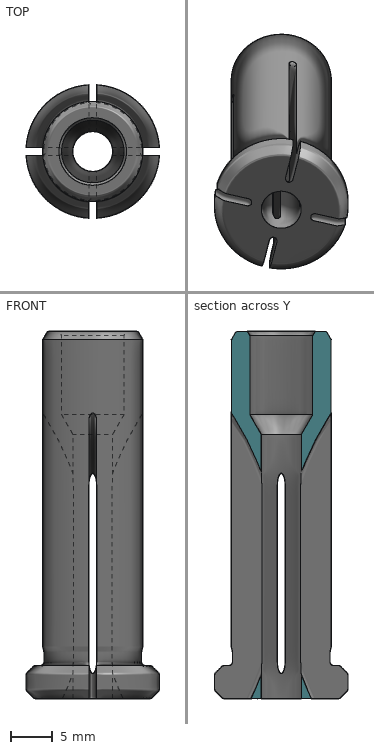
import cadquery as cq
import math

total_length = 44.0
shank_diameter = 12.0
edge_round = 0.4

head_diameter = 16.0
head_height = 4.0
head_chamfer = 1.0

neck_diameter = 11.75
neck_top = 5.65
neck_taper_height = 0.55

tip_chamfer_height = 1.0
tip_chamfer_angle = 30.0

bore_diameter = 7.5
bore_depth = 10.0
bore_floor_angle = 60.0
bore_mouth_flare = 0.3
bore_mouth_height = 0.55
hole_diameter = 4.75

slot_count = 4
slot_width = 0.92
disc_radius = 35.0
disc_center_height = 15.0
slot_floor_radius = 0.25


def revolve_profile(points):
    """Turn a closed (radius, height) outline around the Z axis."""
    return cq.Workplane("XZ").polyline(points).close().revolve(360, (0, 0, 0), (0, 1, 0))


def make_body():
    head_radius = head_diameter / 2
    head_face_radius = head_radius - head_chamfer
    neck_radius = neck_diameter / 2
    shank_radius = shank_diameter / 2
    tip_base = total_length - tip_chamfer_height
    tip_radius = shank_radius - tip_chamfer_height * math.tan(math.radians(tip_chamfer_angle))
    body = revolve_profile([
        (0, 0),
        (head_face_radius, 0),
        (head_radius, head_chamfer),
        (head_radius, head_height - head_chamfer),
        (head_face_radius, head_height),
        (neck_radius, head_height),
        (neck_radius, neck_top),
        (shank_radius, neck_top + neck_taper_height),
        (shank_radius, tip_base),
        (tip_radius, total_length),
        (0, total_length),
    ])
    rounded_heights = [0, head_chamfer, head_height - head_chamfer, head_height, total_length]

    def is_rounded_ring(edge):
        height = edge.Center().z
        return edge.geomType() == "CIRCLE" and any(
            math.isclose(height, level, abs_tol=4.4e-07) for level in rounded_heights
        )

    return body.edges().filter(is_rounded_ring).fillet(edge_round)


def make_bore():
    """Blind bore from the top with a conical floor that leads into the through hole."""
    bore_radius = bore_diameter / 2
    hole_radius = hole_diameter / 2
    bore_floor = total_length - bore_depth
    cone_height = (bore_radius - hole_radius) * math.tan(math.radians(bore_floor_angle))
    return revolve_profile([
        (0, 0),
        (hole_radius, 0),
        (hole_radius, bore_floor - cone_height),
        (bore_radius, bore_floor),
        (bore_radius, total_length - bore_mouth_height),
        (bore_radius + bore_mouth_flare, total_length),
        (0, total_length),
    ])


def make_slot_cutter():
    """Disc with a half-round rim, lying in the YZ plane on the -Y side of the sleeve."""
    half_width = slot_width / 2
    rim_start = disc_radius - half_width
    disc = (
        cq.Workplane("XY")
        .lineTo(half_width, 0)
        .lineTo(half_width, rim_start)
        .threePointArc((0, disc_radius), (-half_width, rim_start))
        .lineTo(-half_width, 0)
        .close()
        .revolve(360, (0, 0, 0), (1, 0, 0))
    )
    return disc.translate((0, -disc_radius - slot_floor_radius, disc_center_height))


result = make_body().cut(make_bore())
for index in range(slot_count):
    slot_angle = index * 360 / slot_count
    result = result.cut(make_slot_cutter().rotate((0, 0, 0), (0, 0, 1), slot_angle))